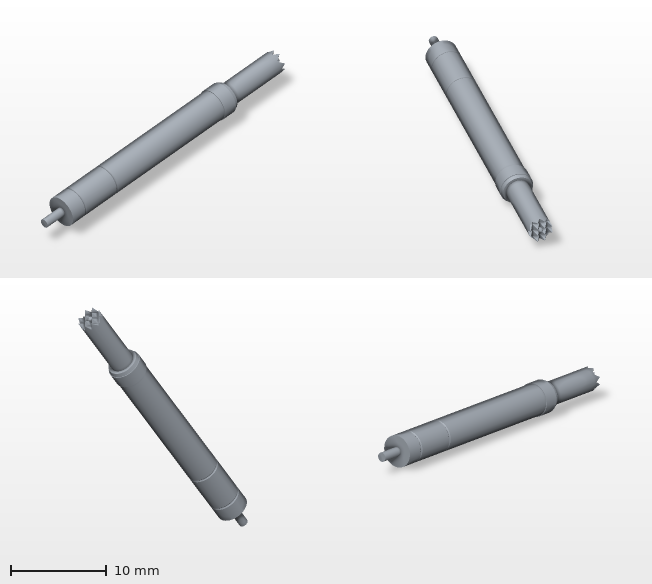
import cadquery as cq

total_length = 34.5
rear_pin_length = 2.52
rear_pin_dia = 1.0

body_dia = 3.5
body_groove_width = 0.28
body_groove_depth = 0.1
body_groove_places = (4.45, 9.1)

collar_dia = 3.65
collar_rear_y = 25.0
collar_front_y = 27.0
collar_nose_length = 0.4
collar_nose_base_dia = 3.52
collar_nose_front_dia = 3.28

plunger_dia = 2.6
serration_pitch = 0.8
serration_depth = 0.65
serration_places = (-serration_pitch, 0, serration_pitch)

center_point_dia = 0.52
center_point_cone_height = 0.25


def rod(dia, start_y, end_y):
    """Solid cylinder on the Y axis."""
    return cq.Workplane("XZ", origin=(0, start_y, 0)).circle(dia / 2).extrude(start_y - end_y)


def turned(section):
    """Revolve a closed section, given as (radius, y) points, about the Y axis."""
    return cq.Workplane("XY").polyline(section).close().revolve(360, (0, 0, 0), (0, 1, 0))


def body_groove(center_y):
    """Ring with a V section, cut into the outside of the body."""
    radius = body_dia / 2
    half_width = body_groove_width / 2
    return turned([
        (radius - body_groove_depth, center_y),
        (radius, center_y - half_width),
        (radius, center_y + half_width),
    ])


def serration(offset):
    """V cutter that runs along Z across the plunger tip, at the given X."""
    half_pitch = serration_pitch / 2
    return (
        cq.Workplane("XY")
        .polyline([
            (offset, total_length - serration_depth),
            (offset + half_pitch, total_length),
            (offset - half_pitch, total_length),
        ])
        .close()
        .extrude(plunger_dia, both=True)
    )


def plunger():
    """Rod with a crossed grid of serrations and a conical point on its axis."""
    tip = rod(plunger_dia, collar_front_y, total_length)
    for offset in serration_places:
        cutter = serration(offset)
        tip = tip.cut(cutter).cut(cutter.rotate((0, 0, 0), (0, 1, 0), 90))
    point_base_y = total_length - serration_depth - center_point_dia
    shoulder_y = total_length - center_point_cone_height
    radius = center_point_dia / 2
    point = turned([(0, point_base_y), (radius, point_base_y), (radius, shoulder_y), (0, total_length)])
    return tip.union(point)


body = rod(body_dia, rear_pin_length, collar_rear_y)
for groove_y in body_groove_places:
    body = body.cut(body_groove(groove_y))

collar_nose_y = collar_front_y - collar_nose_length
collar = turned([
    (0, collar_rear_y),
    (collar_dia / 2, collar_rear_y),
    (collar_dia / 2, collar_nose_y),
    (collar_nose_base_dia / 2, collar_nose_y),
    (collar_nose_front_dia / 2, collar_front_y),
    (0, collar_front_y),
])

result = rod(rear_pin_dia, 0, rear_pin_length).union(body).union(collar).union(plunger())